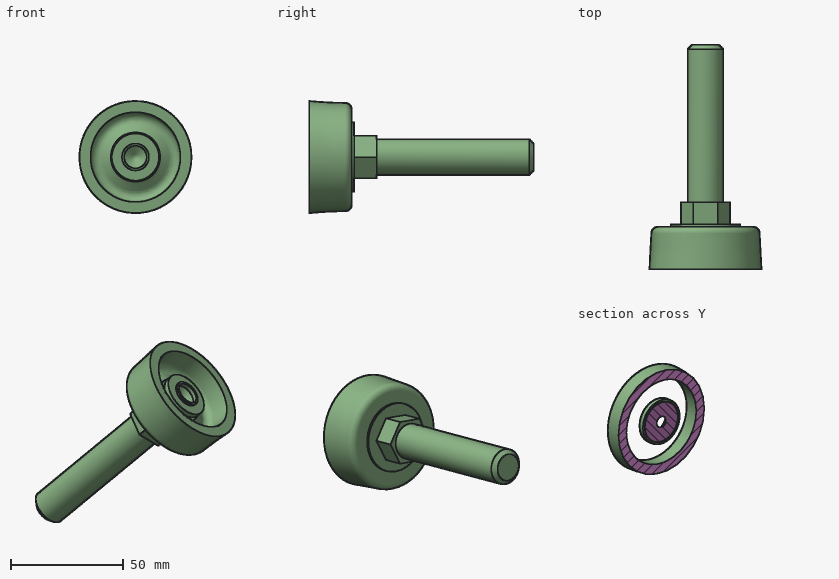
import cadquery as cq
import math


foot_height = 19.0
foot_radius = 25.0
cup_radius = 20.0
inner_draft = math.radians(2)
outer_draft = math.radians(3)
foot_fillet = 3.0
boss_radius = 11.0
boss_face_height = 9.0
cup_roof_slope = math.radians(30)

stud_top = 100.0
shank_radius = 8.0
tip_chamfer = 2.0
hex_flats = 19.0
hex_height = 10.0
flange_radius = 15.5
flange_thickness = 1.0
neck_radius = 9.5
head_radius = 10.5
head_bottom = 4.5
head_thickness = 2.5
lip_radius = 6.0
lip_height = 1.0
bore_radius = 5.0
bore_depth = 2.0
drill_half_angle = math.radians(59)

flange_top = foot_height + flange_thickness
hex_top = flange_top + hex_height
head_top = head_bottom + head_thickness
lip_bottom = head_bottom - lip_height


def cylinder(radius, bottom, top):
    """Solid cylinder about the Y axis between two heights."""
    disc = cq.Workplane("XZ", origin=(0, bottom, 0)).circle(radius)
    return disc.extrude(bottom - top)


def make_foot():
    """Pad with a through hole for the neck and a rounded groove around its central boss."""
    draft = math.tan(inner_draft)
    slope = math.tan(cup_roof_slope)
    corner_height = (boss_face_height + (cup_radius - boss_radius) * slope) / (1 + draft * slope)
    corner_radius = cup_radius - corner_height * draft
    top_radius = foot_radius - foot_height * math.tan(outer_draft)
    profile = [
        (neck_radius, boss_face_height),
        (boss_radius, boss_face_height),
        (corner_radius, corner_height),
        (cup_radius, 0),
        (foot_radius, 0),
        (top_radius, foot_height),
        (neck_radius, foot_height),
    ]
    foot = cq.Workplane("XY").polyline(profile).close().revolve(360, (0, 0, 0), (0, 1, 0))
    outer_top_edge = cq.selectors.RadiusNthSelector(-2)
    groove_corner = cq.selectors.RadiusNthSelector(-4)
    return foot.edges(outer_top_edge + groove_corner).fillet(foot_fillet)


def make_drilled_recess():
    """Round bore with a conical drill point, opening at the lip."""
    bore_end = lip_bottom + bore_depth
    drill_tip = bore_end + bore_radius / math.tan(drill_half_angle)
    profile = [(0, lip_bottom), (bore_radius, lip_bottom), (bore_radius, bore_end), (0, drill_tip)]
    return cq.Workplane("XY").polyline(profile).close().revolve(360, (0, 0, 0), (0, 1, 0))


def make_stud():
    """Shank with a hexagon and flange above the foot, and a neck and head below."""
    hex_corners = hex_flats / math.cos(math.pi / 6)
    shank = cylinder(shank_radius, hex_top, stud_top).faces(">Y").chamfer(tip_chamfer)
    hexagon = cq.Workplane("XZ", origin=(0, flange_top, 0)).polygon(6, hex_corners).extrude(-hex_height)
    stud = shank.union(hexagon)
    stud = stud.union(cylinder(flange_radius, foot_height, flange_top))
    stud = stud.union(cylinder(neck_radius, head_top, foot_height))
    stud = stud.union(cylinder(head_radius, head_bottom, head_top))
    stud = stud.union(cylinder(lip_radius, lip_bottom, head_bottom))
    return stud.cut(make_drilled_recess())


foot = make_foot()
stud = make_stud()

result = cq.Compound.makeCompound([foot.val(), stud.val()])